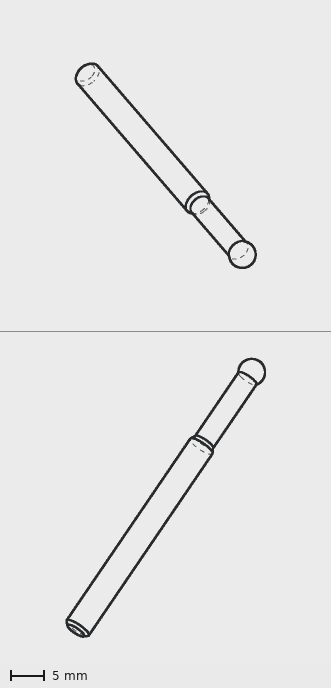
import cadquery as cq
import math

length = 50.0
shank_diameter = 4.0
shank_length = 35.0
neck_diameter = 3.25
tail_chamfer = 0.5
shoulder_length = 0.75
ball_diameter = 4.0

shank_radius = shank_diameter / 2
neck_radius = neck_diameter / 2
ball_radius = ball_diameter / 2

tail_x = -length / 2
tip_x = length / 2
shoulder_x = tail_x + shank_length
ball_x = tip_x - ball_radius
neck_end_x = ball_x - math.sqrt(ball_radius**2 - neck_radius**2)

profile = (
    cq.Workplane("XY")
    .moveTo(tail_x, 0)
    .lineTo(tail_x, shank_radius - tail_chamfer)
    .lineTo(tail_x + tail_chamfer, shank_radius)
    .lineTo(shoulder_x - shoulder_length, shank_radius)
    .lineTo(shoulder_x, neck_radius)
    .lineTo(neck_end_x, neck_radius)
    .threePointArc((ball_x, ball_radius), (tip_x, 0))
    .close()
)

result = profile.revolve(360, (0, 0, 0), (1, 0, 0))